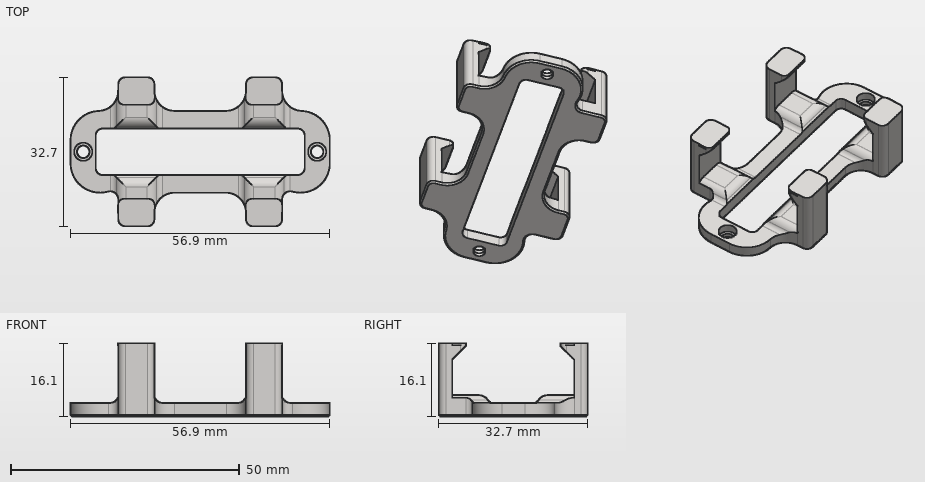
import cadquery as cq
import math

length = 56.9
frame_width = 18.0
plate_height = 3.0
pad_radius = 6.5
bottom_chamfer = 0.4
window_length = 45.75
window_width = 10.1
window_radius = 1.5

hole_spacing = 51.25
hole_diameter = 2.7
counterbore_diameter = 4.0
counterbore_depth = 2.0

arm_offset = 14.0
arm_width = 7.95
arm_depth = 3.0
arm_corner_radius = 1.6
overall_width = 32.7
overall_height = 16.1
front_outer_blend_tangent = 10.4

hook_reach = 3.0
hook_tip_height = 0.6
hook_corner_radius = 1.25
lip_height = 0.5
lip_overhang = 0.05
lip_corner_radius = 1.6

seat_height = 4.7
seat_crown_radius = 2.5
seat_flat_half_width = 2.35
seat_slope = math.radians(54)
seat_flat_start = 7.6

half_length = length / 2
half_frame = frame_width / 2
arm_outer = overall_width / 2
arm_inner = arm_outer - arm_depth
arm_near = arm_offset - arm_width / 2
arm_far = arm_offset + arm_width / 2
pad_x = half_length - pad_radius
pad_y = half_frame - pad_radius

crown_run = seat_crown_radius * math.sin(seat_slope)
crown_drop = seat_crown_radius * (1 - math.cos(seat_slope))
root_drop = seat_height - crown_drop - plate_height
root_radius = root_drop / (1 - math.cos(seat_slope))
root_run = root_radius * math.sin(seat_slope)


def outer_blend(tangent_y):
    """Radius and pad contact of the arc tangent to the pad and to the arm's far side at tangent_y."""
    dx = arm_far - pad_x
    dy = tangent_y - pad_y
    radius = (pad_radius**2 - dx**2 - dy**2) / (2 * (dx - pad_radius))
    share = pad_radius / (pad_radius + radius)
    return radius, (pad_x + share * (dx + radius), pad_y + share * dy)


def quarter_plan(outer_tangent_y):
    """Footprint of one quarter, from the centre lines out to the pad end and the arm."""
    inner_radius = arm_inner - half_frame
    outer_radius, contact = outer_blend(outer_tangent_y)
    corner = arm_corner_radius
    return (
        cq.Workplane("XY")
        .lineTo(0, half_frame)
        .lineTo(arm_near - inner_radius, half_frame)
        .radiusArc((arm_near, arm_inner), -inner_radius)
        .lineTo(arm_near, arm_outer - corner)
        .radiusArc((arm_near + corner, arm_outer), corner)
        .lineTo(arm_far - corner, arm_outer)
        .radiusArc((arm_far, arm_outer - corner), corner)
        .lineTo(arm_far, outer_tangent_y)
        .radiusArc(contact, -outer_radius)
        .radiusArc((half_length, pad_y), pad_radius)
        .lineTo(half_length, 0)
        .close()
        .extrude(overall_height)
    )


def make_blank():
    """Full-height prism of the whole footprint, chamfered around its bottom edge."""
    back = quarter_plan(arm_inner)
    front = quarter_plan(front_outer_blend_tangent).mirror("XZ")
    half = back.union(front)
    blank = half.union(half.mirror("YZ")).clean()
    return blank.faces("<Z").chamfer(bottom_chamfer)


def make_seat():
    """Raised seat on the +X, +Y quarter with a crowned roof on three sides."""
    crown_x = seat_flat_half_width + crown_run
    root_x = crown_x + root_run
    crown_z = seat_height - crown_drop
    across = (
        cq.Workplane("XZ", origin=(arm_offset, 0, 0))
        .moveTo(-root_x, 0)
        .lineTo(-root_x, plate_height)
        .radiusArc((-crown_x, crown_z), -root_radius)
        .radiusArc((-seat_flat_half_width, seat_height), seat_crown_radius)
        .lineTo(seat_flat_half_width, seat_height)
        .radiusArc((crown_x, crown_z), seat_crown_radius)
        .radiusArc((root_x, plate_height), -root_radius)
        .lineTo(root_x, 0)
        .close()
        .extrude(-arm_outer)
    )
    crown_y = seat_flat_start - crown_run
    root_y = crown_y - root_run
    along = (
        cq.Workplane("YZ")
        .moveTo(root_y, 0)
        .lineTo(root_y, plate_height)
        .radiusArc((crown_y, crown_z), -root_radius)
        .radiusArc((seat_flat_start, seat_height), seat_crown_radius)
        .lineTo(arm_outer, seat_height)
        .lineTo(arm_outer, 0)
        .close()
        .extrude(half_length)
    )
    return across.intersect(along)


def make_arm():
    """Upright envelope of the arm on the +X, +Y quarter."""
    return cq.Workplane("XY").box(
        arm_width, arm_depth, overall_height, centered=(True, False, False)
    ).translate((arm_offset, arm_inner, 0))


def make_hook():
    """Inward hook with a sloped underside and a thin lip that overhangs the arm's far side."""
    tip_y = arm_inner - hook_reach
    tip_z = overall_height - hook_tip_height
    barb = (
        cq.Workplane("YZ", origin=(arm_near, 0, 0))
        .moveTo(arm_inner, tip_z - hook_reach)
        .lineTo(tip_y, tip_z)
        .lineTo(tip_y, overall_height)
        .lineTo(arm_inner, overall_height)
        .close()
        .extrude(arm_width)
    )
    barb_plan = (
        cq.Workplane("XY")
        .box(arm_width, hook_reach, overall_height, centered=(True, False, False))
        .translate((arm_offset, tip_y, 0))
        .edges("|Z and <Y")
        .fillet(hook_corner_radius)
    )
    lip = (
        cq.Workplane("XY")
        .box(arm_width + lip_overhang, hook_reach, lip_height, centered=False)
        .translate((arm_near, tip_y, overall_height - lip_height))
        .edges("|Z and <Y")
        .fillet(lip_corner_radius)
    )
    return barb.intersect(barb_plan).union(lip)


def on_four_arms(quarter):
    """Copy a +X, +Y quarter feature to all four arms."""
    pair = quarter.union(quarter.mirror("YZ"))
    return pair.union(pair.mirror("XZ"))


slab = cq.Workplane("XY").box(length, overall_width, plate_height, centered=(True, True, False))
window = (
    cq.Workplane("XY")
    .rect(window_length, window_width)
    .extrude(overall_height)
    .edges("|Z")
    .fillet(window_radius)
)

envelope = slab.union(on_four_arms(make_seat().union(make_arm())))
result = make_blank().intersect(envelope).cut(window)
result = result.union(on_four_arms(make_hook()))
screw_points = [(-hole_spacing / 2, 0), (hole_spacing / 2, 0)]
result = (
    result.copyWorkplane(cq.Workplane("XY", origin=(0, 0, plate_height)))
    .pushPoints(screw_points)
    .cboreHole(hole_diameter, counterbore_diameter, counterbore_depth, depth=plate_height)
)